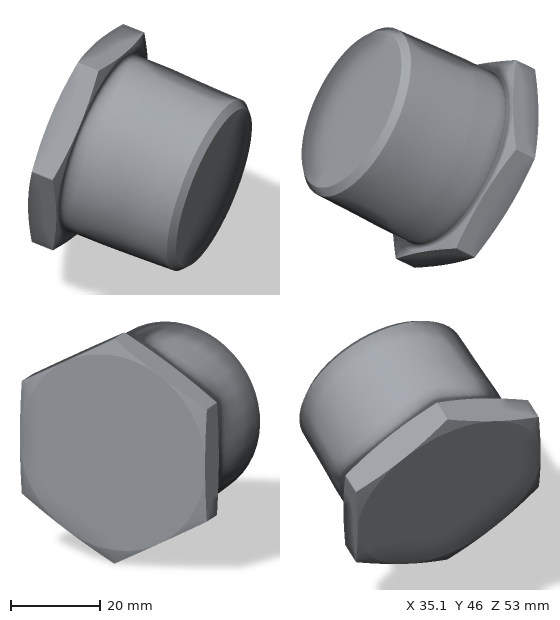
import cadquery as cq
import math

across_flats = 46.0
across_corners = 53.0
head_thickness = 7.1
corner_bevel_angle = 15.0

total_length = 35.1
shank_diameter = 42.3
straight_end = 16.0
taper_ratio = 1 / 16
root_fillet = 0.5
tip_chamfer = 1.55

flat_radius = across_flats / 2
corner_radius = across_corners / 2
shank_radius = shank_diameter / 2


def revolve_about_x(profile):
    """Turn a closed outline of X and radius around the X axis."""
    return profile.close().revolve(360, (0, 0, 0), (1, 0, 0))


def make_head():
    """Hexagon whose corners are beveled on both faces and turned to the corner diameter."""
    sharp_corner_diameter = across_flats / math.cos(math.radians(30))
    hexagon = (
        cq.Workplane("YZ")
        .transformed(rotate=(0, 0, 90))
        .polygon(6, sharp_corner_diameter)
        .extrude(head_thickness)
    )
    bevel_depth = (corner_radius - flat_radius) * math.tan(math.radians(corner_bevel_angle))
    turned_blank = revolve_about_x(cq.Workplane("XZ").polyline([
        (0, 0),
        (0, flat_radius),
        (bevel_depth, corner_radius),
        (head_thickness - bevel_depth, corner_radius),
        (head_thickness, flat_radius),
        (head_thickness, 0),
    ]))
    return hexagon.intersect(turned_blank)


def make_shank():
    """Straight cylinder filleted into the head, then a tapered length ending in a chamfer."""
    taper_end = total_length - tip_chamfer
    taper_end_radius = shank_radius - (taper_end - straight_end) * taper_ratio / 2
    fillet_end = (head_thickness + root_fillet, shank_radius)
    profile = (
        cq.Workplane("XZ")
        .moveTo(head_thickness, 0)
        .lineTo(head_thickness, shank_radius + root_fillet)
        .radiusArc(fillet_end, -root_fillet)
        .lineTo(straight_end, shank_radius)
        .lineTo(taper_end, taper_end_radius)
        .lineTo(total_length, taper_end_radius - tip_chamfer)
        .lineTo(total_length, 0)
    )
    return revolve_about_x(profile)


result = make_head().union(make_shank())